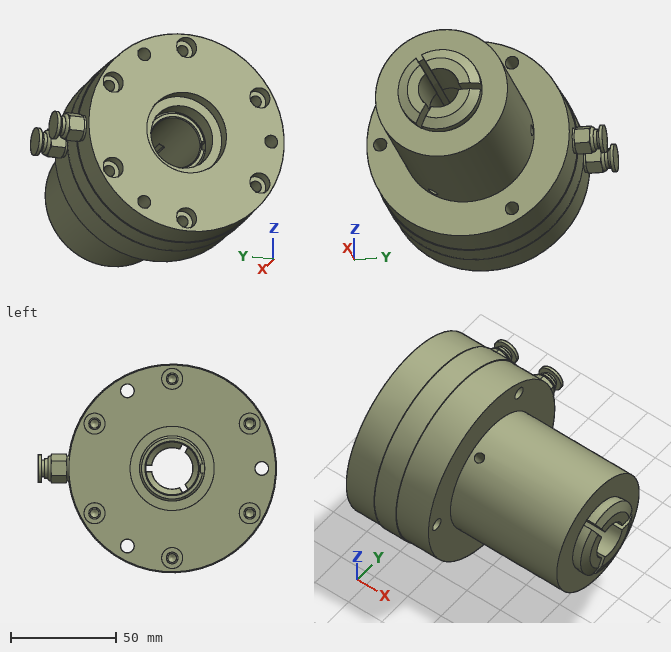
import cadquery as cq
import math


plate_end = 17.0
ring_end = 30.1
flange_end = 49.3
barrel_end = 113.0
collet_tip = 120.0
flange_dia = 98.0
ring_dia = 99.0
overall_depth = 113.0
barrel_dia = 64.0

plate_counterbore_dia = 40.0
plate_counterbore_depth = 7.0

pitch_radius = 42.5
screw_count = 6
screw_head_dia = 10.0
screw_head_depth = 6.0
screw_clearance_dia = 5.5
tap_drill_dia = 4.2
tap_drill_depth = 9.6
drill_point_angle = 118.0
through_hole_dia = 6.4

third_turns = [0, 120, 240]
screw_pitch = 360 / screw_count
screw_angles = [(i + 0.5) * screw_pitch for i in range(screw_count)]
through_hole_angles = [screw_pitch + turn for turn in third_turns]

radial_hole_dia = 5.0
radial_hole_x = 54.4

collet_rear = 16.3
shank_dia = 31.0
shank_chamfer = 1.0
collet_head_dia = 40.0
head_start = 115.0
nose_start = 118.1
nose_dia = 30.2
taper_angle = 10.0
collet_rear_bore_dia = 25.0
collet_rear_bore_chamfer = 0.5
grip_bore_dia = 19.5
grip_bore_length = 30.0
slot_width = 3.0
slot_length = 66.0
keyway_width = 4.2
keyway_floor_radius = 13.5
keyway_length = 24.0

fitting_x_positions = (9.6, 36.4)
fitting_seat_y = 48.0
hex_bottom_y = 49.9
hex_top_y = 57.5
shoulder_y = 58.9
collar_top_y = 60.5
cap_bottom_y = 61.9
fitting_top_y = overall_depth - ring_dia / 2
hex_across_flats = 12.0
hex_turn = 30.0
hex_chamfer_angle = 20.0
fitting_body_dia = 12.0
collar_dia = 9.5
neck_dia = 8.0
cap_dia = 13.2


def cylinder_x(diameter, start, end):
    """Cylinder on the spindle axis from X = start to X = end."""
    return cq.Workplane("YZ").workplane(offset=start).circle(diameter / 2).extrude(end - start)


def on_pitch_circle(tool, angles):
    """Copies of a tool, moved out along +Y to the pitch circle and turned about the spindle axis."""
    moved = tool.translate((0, pitch_radius, 0))
    return [moved.rotate((0, 0, 0), (1, 0, 0), angle) for angle in angles]


def cut_all(body, tools):
    for tool in tools:
        body = body.cut(tool)
    return body


def through_holes():
    return on_pitch_circle(cylinder_x(through_hole_dia, 0, flange_end), through_hole_angles)


def tap_drill():
    """Drill with a pointed tip, entering the ring from its rear face."""
    radius = tap_drill_dia / 2
    shoulder_x = plate_end + tap_drill_depth
    tip_x = shoulder_x + radius / math.tan(math.radians(drill_point_angle / 2))
    outline = [(plate_end, 0), (plate_end, radius), (shoulder_x, radius), (tip_x, 0)]
    return cq.Workplane("XY").polyline(outline).close().revolve(360, (0, 0, 0), (1, 0, 0))


def collet_blank():
    """Solid outside shape of the collet, which is also the shape of its seat."""
    shank_radius = shank_dia / 2
    head_radius = collet_head_dia / 2
    taper_start = head_start - (head_radius - shank_radius) / math.tan(math.radians(taper_angle))
    outline = [
        (collet_rear, 0),
        (collet_rear, shank_radius - shank_chamfer),
        (collet_rear + shank_chamfer, shank_radius),
        (taper_start, shank_radius),
        (head_start, head_radius),
        (nose_start, head_radius),
        (collet_tip, nose_dia / 2),
        (collet_tip, 0),
    ]
    return cq.Workplane("XY").polyline(outline).close().revolve(360, (0, 0, 0), (1, 0, 0))


def fitting_seat(x):
    """Flat-bottomed recess that takes the round foot of a fitting."""
    depth = ring_dia / 2 - fitting_seat_y
    seat = cq.Workplane("XZ", origin=(x, fitting_seat_y, 0)).circle(fitting_body_dia / 2)
    return seat.extrude(-depth)


def make_rear_plate():
    plate = cylinder_x(flange_dia, 0, plate_end)
    plate = plate.cut(cylinder_x(shank_dia, 0, plate_end))
    plate = plate.cut(cylinder_x(plate_counterbore_dia, 0, plate_counterbore_depth))
    screw_tool = cylinder_x(screw_head_dia, 0, screw_head_depth)
    screw_tool = screw_tool.union(cylinder_x(screw_clearance_dia, 0, plate_end))
    plate = cut_all(plate, on_pitch_circle(screw_tool, screw_angles))
    plate = cut_all(plate, through_holes())
    return plate.cut(fitting_seat(fitting_x_positions[0]))


def make_ring():
    ring = cylinder_x(ring_dia, plate_end, ring_end)
    ring = ring.cut(cylinder_x(shank_dia, plate_end, ring_end))
    ring = cut_all(ring, on_pitch_circle(tap_drill(), screw_angles))
    return cut_all(ring, through_holes())


def make_barrel():
    barrel = cylinder_x(flange_dia, ring_end, flange_end)
    barrel = barrel.union(cylinder_x(barrel_dia, flange_end, barrel_end))
    barrel = cut_all(barrel, through_holes())
    radial_hole = cq.Workplane("XZ", origin=(radial_hole_x, 0, 0)).circle(radial_hole_dia / 2)
    radial_hole = radial_hole.extrude(-barrel_dia / 2)
    for turn in third_turns:
        barrel = barrel.cut(radial_hole.rotate((0, 0, 0), (1, 0, 0), turn))
    barrel = barrel.cut(collet_blank())
    return barrel.cut(fitting_seat(fitting_x_positions[1]))


def make_keyway():
    """Keyway on the -Y side of the shank, open at the rear."""
    depth = shank_dia / 2 - keyway_floor_radius
    keyway = cq.Workplane("XY").box(keyway_length, depth, keyway_width, centered=(False, False, True))
    return keyway.translate((collet_rear, -shank_dia / 2, 0))


def grip_bore(start):
    """Narrow front bore of the collet, led in by a 45 degree cone from the rear bore."""
    rear_radius = collet_rear_bore_dia / 2
    grip_radius = grip_bore_dia / 2
    outline = [
        (start, 0),
        (start, rear_radius),
        (start + rear_radius - grip_radius, grip_radius),
        (collet_tip, grip_radius),
        (collet_tip, 0),
    ]
    return cq.Workplane("XY").polyline(outline).close().revolve(360, (0, 0, 0), (1, 0, 0))


def make_collet():
    collet = collet_blank()
    grip_start = collet_tip - grip_bore_length
    collet = collet.cut(cylinder_x(collet_rear_bore_dia, collet_rear, grip_start))
    rear_bore_rim = collet.faces("<X").edges(cq.selectors.RadiusNthSelector(0))
    collet = rear_bore_rim.chamfer(collet_rear_bore_chamfer)
    collet = collet.cut(grip_bore(grip_start))
    slot = cq.Workplane("XY").box(
        slot_length, collet_head_dia / 2, slot_width, centered=(False, False, True))
    slot = slot.translate((collet_tip - slot_length, 0, 0))
    for turn in third_turns:
        collet = collet.cut(slot.rotate((0, 0, 0), (1, 0, 0), turn))
    return collet.cut(make_keyway())


def make_hexagon():
    """Hexagon with two corners along Z and both ends chamfered down to the across-flats circle."""
    flat_radius = hex_across_flats / 2
    corner_radius = flat_radius / math.cos(math.radians(hex_turn))
    chamfer_height = (corner_radius - flat_radius) * math.tan(math.radians(hex_chamfer_angle))
    hexagon = cq.Workplane("XZ", origin=(0, hex_bottom_y, 0)).polygon(6, 2 * corner_radius)
    hexagon = hexagon.extrude(hex_bottom_y - hex_top_y)
    hexagon = hexagon.rotate((0, 0, 0), (0, 1, 0), hex_turn)
    envelope = [
        (0, hex_bottom_y),
        (flat_radius, hex_bottom_y),
        (corner_radius, hex_bottom_y + chamfer_height),
        (corner_radius, hex_top_y - chamfer_height),
        (flat_radius, hex_top_y),
        (0, hex_top_y),
    ]
    turned = cq.Workplane("XY").polyline(envelope).close().revolve(360, (0, 0, 0), (0, 1, 0))
    return hexagon.intersect(turned)


def make_fitting(x):
    """Air fitting with a round foot, a hexagon and a flanged release collar along +Y."""
    body_radius = fitting_body_dia / 2
    collar_radius = collar_dia / 2
    neck_radius = neck_dia / 2
    cap_radius = cap_dia / 2
    shoulder_round = body_radius - collar_radius
    profile = (
        cq.Workplane("XY")
        .moveTo(0, fitting_seat_y)
        .lineTo(body_radius, fitting_seat_y)
        .lineTo(body_radius, shoulder_y - shoulder_round)
        .radiusArc((collar_radius, shoulder_y), -shoulder_round)
        .lineTo(collar_radius, collar_top_y)
        .lineTo(neck_radius, collar_top_y)
        .lineTo(neck_radius, cap_bottom_y)
        .lineTo(cap_radius, cap_bottom_y)
        .lineTo(cap_radius, fitting_top_y)
        .lineTo(0, fitting_top_y)
        .close()
    )
    turned = profile.revolve(360, (0, 0, 0), (0, 1, 0))
    hexagon = make_hexagon()
    return turned.union(hexagon).translate((x, 0, 0))


rear_plate = make_rear_plate()
ring = make_ring()
barrel = make_barrel()
collet = make_collet()
fittings = [make_fitting(x) for x in fitting_x_positions]

result = cq.Compound.makeCompound(
    [rear_plate.val(), ring.val(), barrel.val(), collet.val(), *[f.val() for f in fittings]]
)